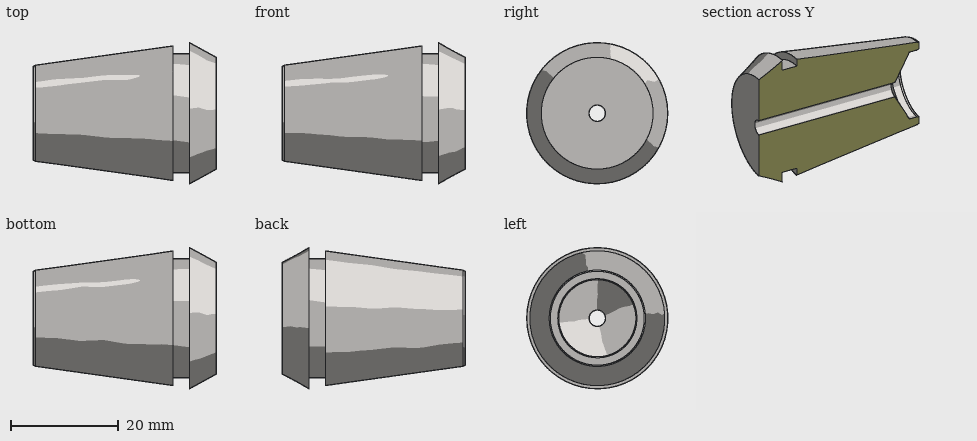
import cadquery as cq

length = 34.0
collar_diameter = 26.2
collar_end_radius = 10.37
collar_length = 5.0
groove_width = 3.03
groove_radius = 11.05
taper_large_radius = 12.5
taper_small_radius = 8.95
nose_chamfer_length = 0.48
nose_radius = 8.7

mouth_edge_radius = 7.35
mouth_chamfer_length = 0.5
mouth_radius = 7.15
mouth_depth = 2.05
cone_length = 3.05
hole_radius = 1.5

collar_radius = collar_diameter / 2
collar_start = length - collar_length
groove_start = collar_start - groove_width
cone_end = mouth_depth + cone_length

half_section = [
    (0, mouth_edge_radius),
    (0, nose_radius),
    (nose_chamfer_length, taper_small_radius),
    (groove_start, taper_large_radius),
    (groove_start, groove_radius),
    (collar_start, groove_radius),
    (collar_start, collar_radius),
    (length, collar_end_radius),
    (length, hole_radius),
    (cone_end, hole_radius),
    (mouth_depth, mouth_radius),
    (mouth_chamfer_length, mouth_radius),
]

result = cq.Workplane("XY").polyline(half_section).close().revolve(360, (0, 0, 0), (1, 0, 0))